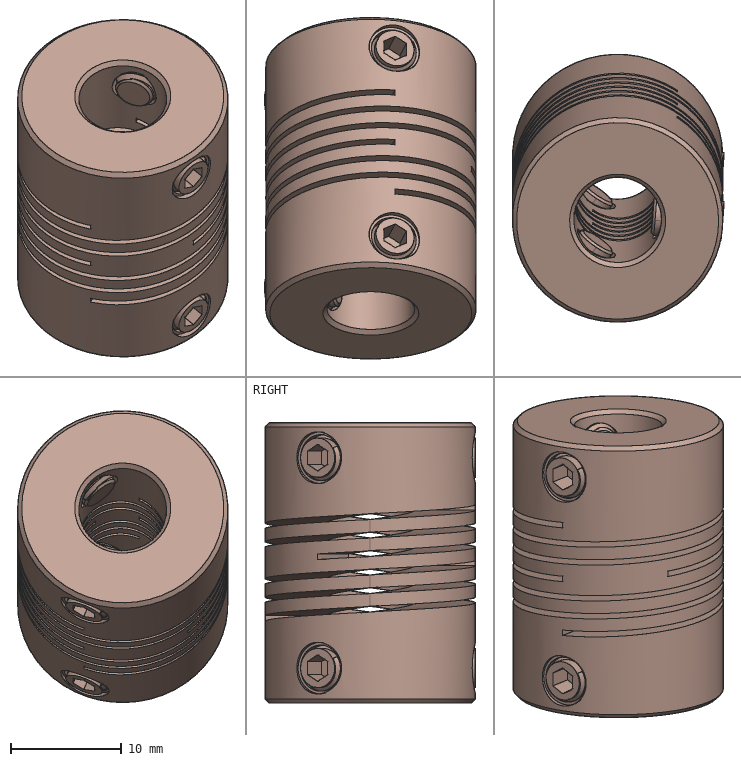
import cadquery as cq
import math

LENGTH = 25.4
BODY_RADIUS = 9.52
BORE_RADIUS = 3.95
EDGE_CHAMFER = 0.38

SLOT_STARTS = 2
SLOT_SPACING = 1.68
SLOT_LEAD = SLOT_STARTS * SLOT_SPACING
SLOT_WIDTH = 0.5
SLOT_FIRST_ANGLE = -90.0
UPPER_SLOT_TURN = 480.0
LOWER_SLOT_TURN = 540.0
LOWER_SLOT_TOP = LENGTH / 2
UPPER_SLOT_TOP = LOWER_SLOT_TOP + 3 * SLOT_SPACING
SLOT_OVERCUT = 0.5

SCREW_ANGLES = (90.0, -30.0)
SCREW_END_DISTANCE = 3.18
SCREW_HEIGHTS = (SCREW_END_DISTANCE, LENGTH - SCREW_END_DISTANCE)
SCREW_LENGTH = 6.35
SCREW_TIP_DISTANCE = BODY_RADIUS - SCREW_LENGTH
CORE_RADIUS = 1.78
TIP_CHAMFER = 0.23
SOCKET_FLATS = 2.08
SOCKET_CORNERS = SOCKET_FLATS / math.cos(math.radians(30))
SOCKET_DEPTH = 2.55

THREAD_RADIUS = 2.08
THREAD_PITCH = 1.07
THREAD_TURNS = 5
THREAD_CREST = 0.13
THREAD_BASE = 0.97
THREAD_EMBED = 0.05
THREAD_START_ANGLE = 120.0
THREAD_HEIGHT = THREAD_TURNS * THREAD_PITCH
THREAD_START = (SCREW_LENGTH - THREAD_HEIGHT) / 2

HOLE_RADIUS = THREAD_RADIUS
COUNTERBORE_RADIUS = 2.34
COUNTERBORE_DEPTH = 0.5
HOLE_OVERCUT = 0.5


def helical_sweep(profile, pitch, height, radius):
    """Sweep an XZ profile along a right-handed helix about Z, starting on +X at Z = 0."""
    path = cq.Workplane(obj=cq.Wire.makeHelix(pitch, height, radius))
    return profile.sweep(path, isFrenet=True)


def turn_about_z(shape, angle):
    return shape.rotate((0, 0, 0), (0, 0, 1), angle)


def make_helical_slot(top_height, start_angle, turn):
    """Cutter that starts at top_height and winds downwards, clockwise from above."""
    drop = SLOT_LEAD * turn / 360
    inner = BORE_RADIUS - SLOT_OVERCUT
    outer = BODY_RADIUS + SLOT_OVERCUT
    profile = cq.Workplane("XZ").center((inner + outer) / 2, 0).rect(outer - inner, SLOT_WIDTH)
    cutter = helical_sweep(profile, SLOT_LEAD, drop, BODY_RADIUS)
    return turn_about_z(cutter, start_angle - turn).translate((0, 0, top_height - drop))


def place_radially(shape, angle, height):
    """Lay a shape built along +Z onto a radius of the coupling, its base at the screw tip."""
    laid = shape.rotate((0, 0, 0), (0, 1, 0), 90).translate((SCREW_TIP_DISTANCE, 0, height))
    return turn_about_z(laid, angle)


def make_screw_hole():
    """Counterbored cutter along +Z, from the screw tip to beyond the outside of the coupling."""
    bore = cq.Workplane("XY").circle(HOLE_RADIUS).extrude(SCREW_LENGTH)
    counterbore = (
        cq.Workplane("XY")
        .workplane(offset=SCREW_LENGTH - COUNTERBORE_DEPTH)
        .circle(COUNTERBORE_RADIUS)
        .extrude(COUNTERBORE_DEPTH + HOLE_OVERCUT)
    )
    return bore.union(counterbore)


def make_body():
    """Tube with chamfered rims, four helical slots and four radial, counterbored screw holes."""
    body = (
        cq.Workplane("XY")
        .circle(BODY_RADIUS)
        .circle(BORE_RADIUS)
        .extrude(LENGTH)
        .faces("<Z or >Z")
        .chamfer(EDGE_CHAMFER)
    )
    for start in range(SLOT_STARTS):
        start_angle = SLOT_FIRST_ANGLE + 360 / SLOT_STARTS * start
        body = body.cut(make_helical_slot(UPPER_SLOT_TOP, start_angle, UPPER_SLOT_TURN))
        body = body.cut(make_helical_slot(LOWER_SLOT_TOP, start_angle, LOWER_SLOT_TURN))

    hole = make_screw_hole()
    for height in SCREW_HEIGHTS:
        for angle in SCREW_ANGLES:
            body = body.cut(place_radially(hole, angle, height))
    return body


def make_thread():
    """Helical ridge, its base sunk slightly into the screw core."""
    base_radius = CORE_RADIUS - THREAD_EMBED
    profile = (
        cq.Workplane("XZ")
        .moveTo(base_radius, -THREAD_BASE / 2)
        .lineTo(THREAD_RADIUS, -THREAD_CREST / 2)
        .lineTo(THREAD_RADIUS, THREAD_CREST / 2)
        .lineTo(base_radius, THREAD_BASE / 2)
        .close()
    )
    ridge = helical_sweep(profile, THREAD_PITCH, THREAD_HEIGHT, CORE_RADIUS)
    return turn_about_z(ridge, THREAD_START_ANGLE).translate((0, 0, THREAD_START))


def make_set_screw():
    """Set screw along +Z with its chamfered tip at Z = 0 and a hexagon socket at the other end."""
    core = cq.Workplane("XY").circle(CORE_RADIUS).extrude(SCREW_LENGTH).faces("<Z").chamfer(TIP_CHAMFER)
    socket = (
        cq.Workplane("XY")
        .workplane(offset=SCREW_LENGTH - SOCKET_DEPTH)
        .polygon(6, SOCKET_CORNERS)
        .extrude(SOCKET_DEPTH)
    )
    return core.union(make_thread()).cut(socket)


body = make_body()
set_screw = make_set_screw()
set_screws = []
for screw_height in SCREW_HEIGHTS:
    for screw_angle in SCREW_ANGLES:
        placed_screw = place_radially(set_screw, screw_angle, screw_height)
        set_screws.append(placed_screw.solids().val())

result = cq.Compound.makeCompound([body.solids().val(), *set_screws])